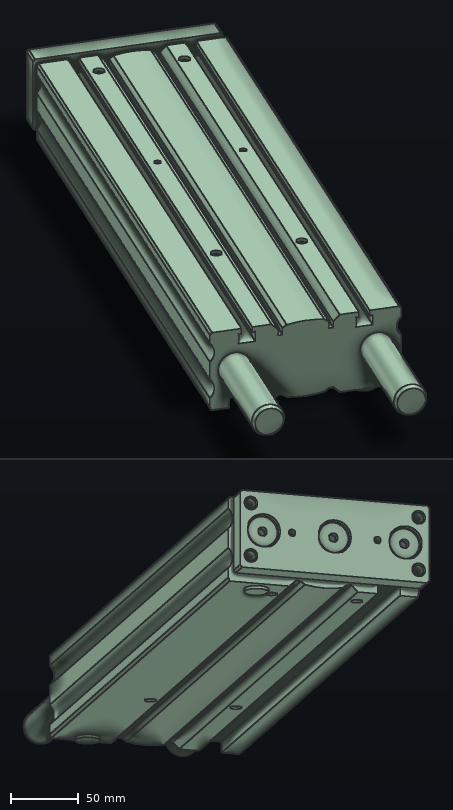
import cadquery as cq


overall_length = 560.0
plate_thickness = 16.0
housing_start = 27.5
housing_end = 471.0
housing_length = housing_end - housing_start

plate_width = 147.0
plate_height = 59.5
plate_chamfer = 1.5
corner_hole_y = 65.0
corner_hole_z = 20.0
corner_hole_diameter = 8.0
corner_hole_countersink = 1.0
dowel_hole_y = 33.0
dowel_hole_diameter = 5.0

rod_seat_diameter = 25.0
rod_recess_depth = 3.5
rod_seat_chamfer = 1.0
center_hole_diameter = 7.0
center_hole_depth = 5.5
guide_rod_diameter = rod_seat_diameter
guide_rod_y = 55.0
guide_end_chamfer_length = 3.5
guide_end_chamfer_radial = 1.5
piston_rod_diameter = 19.0
cylinder_end_wall = 17.0
piston_rod_end = housing_end - cylinder_end_wall

housing_width = 148.0
housing_top = 32.0
housing_bottom = -33.0
housing_middle_z = (housing_top + housing_bottom) / 2
housing_half_height = (housing_top - housing_bottom) / 2
top_corner_chamfer = 1.5
bottom_corner_chamfer_height = 3.0
bottom_corner_chamfer_width = 1.0
valley_outer_y = 26.5
valley_floor_outer_y = 21.0
valley_floor_inner_y = 18.0
ridge_edge_y = 14.5
valley_floor_outer_drop = 5.0
valley_floor_inner_drop = 4.5
ridge_edge_drop = 2.0
ridge_peak_drop = 0.85

side_groove_chord = 15.0
side_groove_depth = 3.5
side_groove_z = 15.0
sensor_slot_y = 45.5
sensor_slot_opening = 8.5
sensor_slot_lip = 4.5
sensor_slot_inner_width = 13.0
sensor_slot_depth = 12.5
valley_slot_y = (valley_floor_outer_y + valley_floor_inner_y) / 2
valley_slot_width = valley_floor_outer_y - valley_floor_inner_y
valley_slot_depth = 10.0
mounting_slot_y = 50.5
mounting_slot_width = 17.5
mounting_slot_depth = 8.5

vertical_hole_y = 33.0
mounting_hole_offsets = (24.0, 324.0)
mounting_hole_diameter = 8.5
pin_hole_offset = 174.0
pin_hole_diameter = 5.0
pin_hole_depth = 8.5
port_boss_diameter = 18.0
port_boss_bottom = -35.0
port_boss_y = 47.5
port_boss_offsets = (14.5, housing_length - 9.5)

SIDES = (-1, 1)
COUNTERSINK_ANGLE = 90


def rod_x(diameter, start, end, y=0.0):
    """Round bar along X."""
    bar = cq.Workplane("YZ", origin=(start, y, 0)).circle(diameter / 2)
    return bar.extrude(end - start)


def lengthwise_box(y, bottom, top, box_width):
    """Rectangular bar as long as the housing."""
    bar = cq.Workplane("YZ", origin=(housing_start, y, (bottom + top) / 2))
    return bar.rect(box_width, top - bottom).extrude(housing_length)


def vertical_cylinder(x, y, diameter, bottom, top):
    return cq.Workplane("XY", origin=(x, y, bottom)).circle(diameter / 2).extrude(top - bottom)


def valley_and_ridge(outline, side):
    """Cross the middle of the top (side 1) or bottom (side -1): valley, arched ridge, valley."""

    def level(drop):
        return housing_middle_z + side * (housing_half_height - drop)

    descent = [
        (valley_outer_y, level(0)),
        (valley_floor_outer_y, level(valley_floor_outer_drop)),
        (valley_floor_inner_y, level(valley_floor_inner_drop)),
        (ridge_edge_y, level(ridge_edge_drop)),
    ]
    for y, z in descent:
        outline = outline.lineTo(-side * y, z)
    outline = outline.threePointArc(
        (0, level(ridge_peak_drop)), (side * ridge_edge_y, level(ridge_edge_drop))
    )
    for y, z in reversed(descent[:-1]):
        outline = outline.lineTo(side * y, z)
    return outline


def housing_extrusion():
    """Outer section of the housing, with chamfered corners."""
    half_width = housing_width / 2
    top_half_width = half_width - top_corner_chamfer
    bottom_half_width = half_width - bottom_corner_chamfer_width
    bottom_chamfer_top = housing_bottom + bottom_corner_chamfer_height
    outline = cq.Workplane("YZ", origin=(housing_start, 0, 0)).moveTo(-top_half_width, housing_top)
    outline = valley_and_ridge(outline, 1)
    outline = (
        outline.lineTo(top_half_width, housing_top)
        .lineTo(half_width, housing_top - top_corner_chamfer)
        .lineTo(half_width, bottom_chamfer_top)
        .lineTo(bottom_half_width, housing_bottom)
    )
    outline = valley_and_ridge(outline, -1)
    outline = (
        outline.lineTo(-bottom_half_width, housing_bottom)
        .lineTo(-half_width, bottom_chamfer_top)
        .lineTo(-half_width, housing_top - top_corner_chamfer)
        .close()
    )
    return outline.extrude(housing_length)


def cut_side_grooves(body):
    """Two shallow round grooves along each long side."""
    radius = (side_groove_chord**2 / 4 + side_groove_depth**2) / (2 * side_groove_depth)
    axis_y = housing_width / 2 + radius - side_groove_depth
    for side in SIDES:
        for level in SIDES:
            cutter = cq.Workplane("YZ", origin=(housing_start, side * axis_y, level * side_groove_z))
            body = body.cut(cutter.circle(radius).extrude(housing_length))
    return body


def cut_slots(body):
    """T-slots and narrow valley slots in the top, and one plain slot in the -Y half of the bottom."""
    lip_z = housing_top - sensor_slot_lip
    floor_z = housing_top - sensor_slot_depth
    valley_slot_floor = housing_top - valley_slot_depth
    mounting_slot_roof = housing_bottom + mounting_slot_depth
    for side in SIDES:
        slot_y = side * sensor_slot_y
        body = body.cut(lengthwise_box(slot_y, lip_z, housing_top, sensor_slot_opening))
        body = body.cut(lengthwise_box(slot_y, floor_z, lip_z, sensor_slot_inner_width))
        body = body.cut(
            lengthwise_box(side * valley_slot_y, valley_slot_floor, housing_top, valley_slot_width)
        )
    return body.cut(
        lengthwise_box(-mounting_slot_y, housing_bottom, mounting_slot_roof, mounting_slot_width)
    )


def cut_vertical_holes(body):
    """Through mounting holes and blind pin holes in the two inner lands."""
    for side in SIDES:
        y = side * vertical_hole_y
        for offset in mounting_hole_offsets:
            x = housing_start + offset
            body = body.cut(vertical_cylinder(x, y, mounting_hole_diameter, housing_bottom, housing_top))
        pin_x = housing_start + pin_hole_offset
        pin_floor = housing_top - pin_hole_depth
        body = body.cut(vertical_cylinder(pin_x, y, pin_hole_diameter, pin_floor, housing_top))
    return body


def add_port_bosses(body):
    """Round bosses that stand below the +Y half of the housing, which has no bottom slot."""
    for offset in port_boss_offsets:
        x = housing_start + offset
        body = body.union(
            vertical_cylinder(x, port_boss_y, port_boss_diameter, port_boss_bottom, housing_bottom)
        )
    return body


def cut_rod_bores(body):
    """Through bores for the guide rods and a blind bore for the piston rod."""
    for side in SIDES:
        body = body.cut(rod_x(guide_rod_diameter, housing_start, housing_end, side * guide_rod_y))
    return body.cut(rod_x(piston_rod_diameter, housing_start, piston_rod_end))


def make_housing():
    body = housing_extrusion()
    body = cut_side_grooves(body)
    body = cut_slots(body)
    body = cut_vertical_holes(body)
    body = add_port_bosses(body)
    return cut_rod_bores(body)


def make_tool_plate():
    """Plate with countersunk corner holes, dowel holes and three through seats for the rods."""
    plate = cq.Workplane("YZ").rect(plate_width, plate_height).extrude(plate_thickness)
    plate = plate.edges("|X").chamfer(plate_chamfer)
    countersink_diameter = corner_hole_diameter + 2 * corner_hole_countersink
    plate = (
        plate.faces("<X")
        .workplane(centerOption="CenterOfBoundBox")
        .rect(2 * corner_hole_y, 2 * corner_hole_z, forConstruction=True)
        .vertices()
        .cskHole(corner_hole_diameter, countersink_diameter, COUNTERSINK_ANGLE)
    )
    for side in SIDES:
        plate = plate.cut(rod_x(dowel_hole_diameter, 0, plate_thickness, side * dowel_hole_y))
    for y in (-guide_rod_y, 0, guide_rod_y):
        plate = plate.cut(rod_x(rod_seat_diameter, 0, plate_thickness, y))
    return plate


def finish_front_end(rod, y):
    """Chamfer the rod end that sits in the plate and drill its center hole."""
    rod = rod.faces("<X").chamfer(rod_seat_chamfer)
    center_hole_end = rod_recess_depth + center_hole_depth
    return rod.cut(rod_x(center_hole_diameter, rod_recess_depth, center_hole_end, y))


def make_guide_rod(y):
    """Guide rod with a chamfered free end."""
    rod = rod_x(guide_rod_diameter, rod_recess_depth, overall_length, y)
    rod = rod.faces(">X").chamfer(guide_end_chamfer_length, guide_end_chamfer_radial)
    return finish_front_end(rod, y)


def make_piston_rod():
    """Piston rod with a wider head that fills its seat in the plate."""
    head = rod_x(rod_seat_diameter, rod_recess_depth, plate_thickness)
    shank = rod_x(piston_rod_diameter, plate_thickness, piston_rod_end)
    return finish_front_end(head.union(shank), 0)


housing = make_housing()
tool_plate = make_tool_plate()
guide_rods = [make_guide_rod(side * guide_rod_y) for side in SIDES]
piston_rod = make_piston_rod()

result = cq.Compound.makeCompound(
    [housing.val(), tool_plate.val(), *[rod.val() for rod in guide_rods], piston_rod.val()]
)